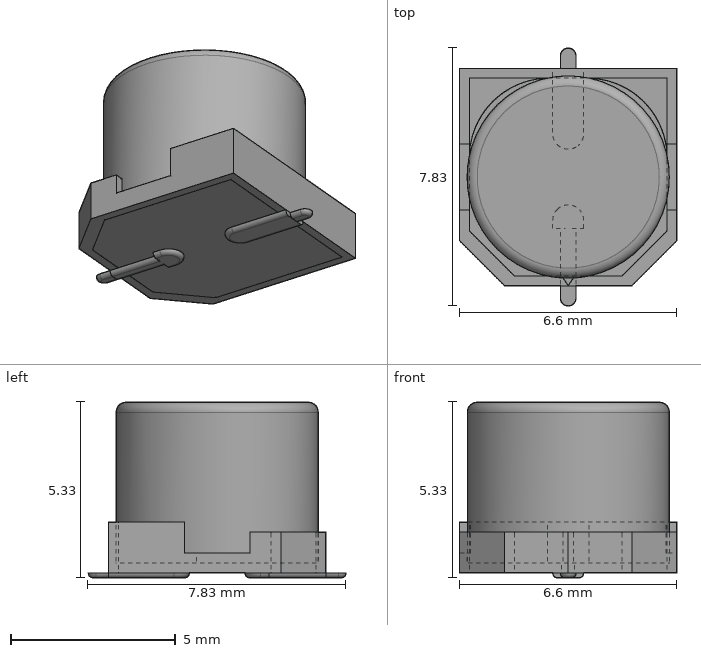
import cadquery as cq
import math

housing_size = 6.6
housing_corner = 1.37
wall = 0.3
base_corner_radius = 2.43
floor_thickness = 0.3
rear_height = 1.54
front_height = 1.24
window_width = 2.0
window_height = 0.61
mark_width = 0.55
mark_depth = 0.4
mark_tip_gap = 0.01

can_diameter = 6.14
can_edge_radius = 0.305

terminal_thickness = 0.15
terminal_edge_radius = 0.14
pad_width = 0.94
lead_width = 0.48
terminal_end = 3.915
pad_inner_end = 0.845
front_pad_start = 1.565

overall_height = 5.33

half_housing = housing_size / 2
half_cavity = half_housing - wall
housing_bottom = terminal_thickness
cavity_floor = housing_bottom + floor_thickness
can_radius = can_diameter / 2
can_height = overall_height - cavity_floor
rear_pad_start = half_housing


def chamfered_square(half_side, bottom, height):
    """Square prism with its two front corners cut at 45 degrees."""
    flat = half_side - housing_corner
    return (
        cq.Workplane("XY", origin=(0, 0, bottom))
        .moveTo(-half_side, half_side)
        .lineTo(half_side, half_side)
        .lineTo(half_side, -flat)
        .lineTo(flat, -half_side)
        .lineTo(-flat, -half_side)
        .lineTo(-half_side, -flat)
        .close()
        .extrude(height)
    )


def cylinder(radius, bottom, height):
    return cq.Workplane("XY", origin=(0, 0, bottom)).circle(radius).extrude(height)


def cut_windows(body):
    """Open the two side walls down to the window sill."""
    windows = (
        cq.Workplane("XY", origin=(0, 0, housing_bottom + window_height))
        .rect(housing_size, window_width)
        .extrude(rear_height)
    )
    return body.cut(windows)


def cut_polarity_notch(body):
    """Cut the vertical V groove whose tip stops just inside the front face."""
    tip = -half_housing + mark_tip_gap
    notch = (
        cq.Workplane("XY", origin=(0, 0, housing_bottom))
        .moveTo(-mark_width / 2, tip + mark_depth)
        .lineTo(mark_width / 2, tip + mark_depth)
        .lineTo(0, tip)
        .close()
        .extrude(rear_height)
    )
    return body.cut(notch)


def make_housing():
    """Frame with a low front rim, side windows and a front polarity notch."""
    frame = chamfered_square(half_housing, housing_bottom, rear_height)
    cavity = chamfered_square(half_cavity, housing_bottom, rear_height)
    can_seat = cylinder(can_radius, cavity_floor, rear_height)
    front_step = (
        cq.Workplane("XY", origin=(0, -half_housing / 2, housing_bottom + front_height))
        .rect(housing_size, half_housing)
        .extrude(rear_height)
    )
    frame = frame.cut(cavity).cut(can_seat).cut(front_step)
    return cut_polarity_notch(cut_windows(frame))


def make_can():
    """Plain cylinder with a rounded top edge."""
    can = cylinder(can_radius, cavity_floor, can_height)
    return can.faces(">Z").edges().fillet(can_edge_radius)


def rear_corner(side):
    """Corner filler flush with the rim, hollowed by an arc tangent to both walls."""
    reach = half_cavity - base_corner_radius
    arc_middle = reach + base_corner_radius * math.sqrt(0.5)
    return (
        cq.Workplane("XY", origin=(0, 0, housing_bottom))
        .moveTo(side * half_cavity, reach)
        .lineTo(side * half_cavity, half_cavity)
        .lineTo(side * reach, half_cavity)
        .threePointArc((side * arc_middle, arc_middle), (side * half_cavity, reach))
        .close()
        .extrude(rear_height)
    )


def make_base():
    """Floor plate inside the frame with its two raised rear corners."""
    base = chamfered_square(half_cavity, housing_bottom, floor_thickness)
    for side in (-1, 1):
        base = base.union(rear_corner(side))
    base = base.cut(cylinder(can_radius, cavity_floor, rear_height))
    return cut_windows(base)


def rounded_bar(width, inner_end, outer_end, side):
    """Flat bar along Y with round ends and a rounded bottom edge."""
    bar = (
        cq.Workplane("XY", origin=(0, side * (inner_end + outer_end) / 2, 0))
        .slot2D(outer_end - inner_end, width, 90)
        .extrude(terminal_thickness)
    )
    return bar.faces("<Z").edges().fillet(terminal_edge_radius)


def keep_between(body, near, far, side):
    """Keep the stretch of a terminal between two distances from the middle."""
    window = (
        cq.Workplane("XY", origin=(0, side * (near + far) / 2, 0))
        .rect(housing_size, far - near)
        .extrude(terminal_thickness)
    )
    return body.intersect(window)


def make_pad(side, wide_start):
    """Terminal part under the housing: a wide round inner end fed by the narrow lead."""
    wide = rounded_bar(pad_width, pad_inner_end, terminal_end, side)
    wide = keep_between(wide, pad_inner_end, wide_start, side)
    if wide_start == half_housing:
        return wide
    narrow = rounded_bar(lead_width, pad_inner_end, terminal_end, side)
    narrow = keep_between(narrow, wide_start, half_housing, side)
    return wide.union(narrow)


def make_tab(side):
    """Narrow terminal part outside the housing, with a round tip."""
    lead = rounded_bar(lead_width, pad_inner_end, terminal_end, side)
    return keep_between(lead, half_housing, terminal_end, side)


housing = make_housing()
can = make_can()
base = make_base()
pads = [make_pad(side, start) for side, start in ((-1, front_pad_start), (1, rear_pad_start))]
tabs = [make_tab(side) for side in (-1, 1)]

result = cq.Compound.makeCompound([
    housing.val(),
    can.val(),
    base.val(),
    *[pad.val() for pad in pads],
    *[tab.val() for tab in tabs],
])